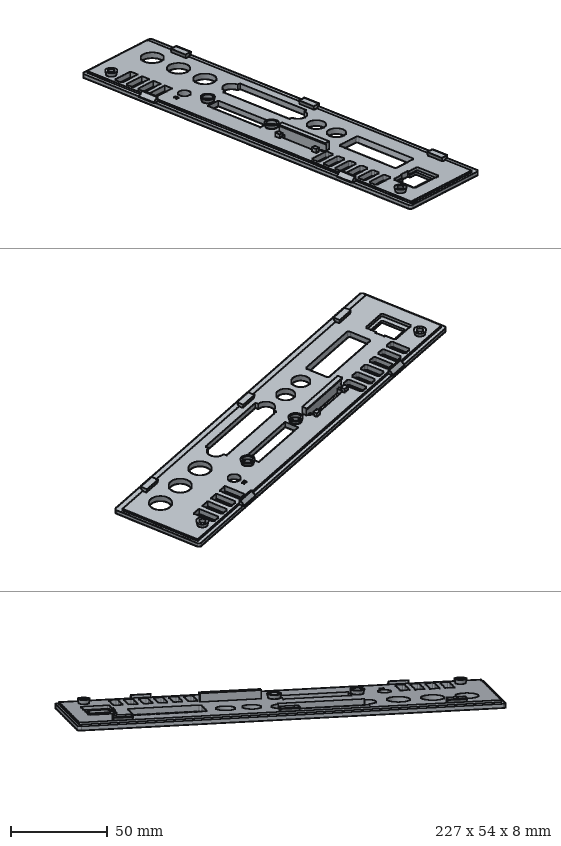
import cadquery as cq

PLATE_LENGTH = 227.0
PLATE_DEPTH = 53.3
PLATE_THICKNESS = 2.3
PLATE_CORNER_RADIUS = 1.5
MIDDLE_X = PLATE_LENGTH / 2

PANEL_SIDE_MARGIN = 1.5
PANEL_FRONT_MARGIN = 2.3
PANEL_BACK_MARGIN = 4.0
PANEL_THICKNESS = 1.1
PANEL_TOP = PLATE_THICKNESS + PANEL_THICKNESS
PANEL_BACK_Y = PLATE_DEPTH - PANEL_BACK_MARGIN

FEATURE_TOP = 5.7

CLIP_MIDDLE_X = 113.7
CLIP_WIDTH = 10.2
CLIP_PITCH = 88.5
CLIP_FRONT_Y = 46.5
CLIP_TIP_Y = 50.8
CLIP_ROOT_SHIFT = 0.5
CLIP_TIP_THICKNESS = 0.5

TAB_WIDTH = 10.5
TAB_SPACING = 136.7
TAB_TOP = 5.0
TAB_OVERHANG = 0.7
TAB_TIP_THICKNESS = 0.5
TAB_RIDGE_WIDTH = 0.7

JACK_DIAMETER = 12.0
JACK_FIRST_X = 16.8
JACK_PITCH = 18.2
JACK_COUNT = 3
JACK_Y = 35.9
PORT_DIAMETER = 10.0
PORT_FIRST_X = 130.8
PORT_PITCH = 13.8
PORT_Y = 35.2
AUDIO_DIAMETER = 6.8
AUDIO_X = 56.0
AUDIO_Y = 16.5
PEEPHOLE_LENGTH = 2.3
PEEPHOLE_WIDTH = 1.5
PEEPHOLE_Y = 10.2

WIDE_LENGTH = 45.9
WIDE_HEIGHT = 13.2
WIDE_X = 93.0
WIDE_Y = 37.5
LOBE_DIAMETER = 9.5

NARROW_LENGTH = 36.3
NARROW_HEIGHT = 8.2
NARROW_X = 92.8
NARROW_Y = 18.0
POST_SPACING = 44.0
POST_Y = 18.2
POST_TOP_DIAMETER = 7.5
POST_BASE_DIAMETER = 6.4
POST_BORE = 5.5

SCREW_SPACING = 199.8
SCREW_Y = 7.5
SCREW_TOP_DIAMETER = 6.4
SCREW_BASE_DIAMETER = 5.5
SCREW_BORE = 3.5

SLOT_WIDTH = 5.0
SLOT_PITCH = 8.0
SLOT_BOTTOM_Y = 4.0
SLOT_CORNER_RADIUS = 1.1
LEFT_SLOT_COUNT = 4
LEFT_SLOT_X = 21.3
LEFT_SLOT_LENGTH = 12.5
RIGHT_SLOT_COUNT = 6
RIGHT_SLOT_X = 157.3
RIGHT_SLOT_LENGTH = 11.8

WINDOW_LENGTH = 39.0
WINDOW_X = 174.8
WINDOW_FRONT_Y = 25.2
WINDOW_BACK_Y = 39.5
WINDOW_LEAN = 0.7
WINDOW_CORNER_RADIUS = 1.1

POCKET_LENGTH = 15.0
POCKET_WIDTH = 18.6
POCKET_X = 209.3
POCKET_Y = 24.3
POCKET_DEPTH = 1.8
POCKET_CORNER_RADIUS = 1.0
SOCKET_LENGTH = 11.1
SOCKET_WIDTH = 14.5
SOCKET_X = 208.2
SOCKET_CORNER_RADIUS = 0.5
NOTCH_LEFT_X = 201.1
NOTCH_WIDTH = 5.5

WALL_LENGTH = 32.5
WALL_X = 138.0
WALL_BACK_Y = 18.6
WALL_FRONT_Y = 16.3
WALL_TOP = 8.0
LIP_REACH = 0.7
LIP_HEIGHT = 0.5
OPENING_BACK_LENGTH = WALL_LENGTH
OPENING_FRONT_LENGTH = 25.5
OPENING_FRONT_Y = 12.5
OPENING_BACK_Y = WALL_FRONT_Y
FOOT_WIDTH = 3.2
FOOT_SPACING = 25.5
FOOT_FRONT_Y = 11.0
FOOT_OVERHANG = 0.7
LEDGE_WIDTH = 1.8
LEDGE_TOP = 2.7


def box(left, front, bottom, length, depth, height):
    """Block placed by its left, front and bottom faces."""
    return cq.Workplane("XY").box(length, depth, height, centered=False).translate((left, front, bottom))


def bar(profile, center_x, width):
    """Extrude a closed (y, z) profile along X, centred on center_x."""
    return cq.Workplane("YZ").polyline(profile).close().extrude(width / 2, both=True).translate((center_x, 0, 0))


def through_hole(x, y, diameter):
    return cq.Workplane("XY").center(x, y).circle(diameter / 2).extrude(FEATURE_TOP)


def through_rectangle(x, y, length, width):
    return cq.Workplane("XY").center(x, y).rect(length, width).extrude(PANEL_TOP)


def pair(center_x, spacing):
    return (center_x - spacing / 2, center_x + spacing / 2)


def make_base():
    plate = box(0, 0, 0, PLATE_LENGTH, PLATE_DEPTH, PLATE_THICKNESS)
    plate = plate.edges("|Z").fillet(PLATE_CORNER_RADIUS)
    panel = box(
        PANEL_SIDE_MARGIN,
        PANEL_FRONT_MARGIN,
        PLATE_THICKNESS,
        PLATE_LENGTH - 2 * PANEL_SIDE_MARGIN,
        PANEL_BACK_Y - PANEL_FRONT_MARGIN,
        PANEL_THICKNESS,
    )
    return plate.union(panel)


def rear_clip(center_x):
    profile = [
        (CLIP_FRONT_Y + CLIP_ROOT_SHIFT, PANEL_TOP),
        (CLIP_FRONT_Y, FEATURE_TOP - CLIP_TIP_THICKNESS),
        (CLIP_FRONT_Y, FEATURE_TOP),
        (CLIP_TIP_Y, FEATURE_TOP),
        (CLIP_TIP_Y, FEATURE_TOP - CLIP_TIP_THICKNESS),
        (PANEL_BACK_Y, PANEL_TOP),
    ]
    return bar(profile, center_x, CLIP_WIDTH)


def front_tab(center_x):
    profile = [
        (PANEL_FRONT_MARGIN, PLATE_THICKNESS),
        (PANEL_FRONT_MARGIN, TAB_TOP),
        (PANEL_FRONT_MARGIN - TAB_RIDGE_WIDTH, TAB_TOP),
        (-TAB_OVERHANG, PLATE_THICKNESS + TAB_TIP_THICKNESS),
        (-TAB_OVERHANG, PLATE_THICKNESS),
    ]
    return bar(profile, center_x, TAB_WIDTH)


def flared_boss(x, y, base_diameter, top_diameter):
    """Solid round boss that widens from the panel to its top."""
    return (
        cq.Workplane("XY", origin=(x, y, PANEL_TOP))
        .circle(base_diameter / 2)
        .workplane(offset=FEATURE_TOP - PANEL_TOP)
        .circle(top_diameter / 2)
        .loft()
    )


def hollow_post(x):
    post = flared_boss(x, POST_Y, POST_BASE_DIAMETER, POST_TOP_DIAMETER)
    return post.faces(">Z").workplane().hole(POST_BORE)


def slot_row(first_x, count, length, rounded_edges):
    slots = cq.Workplane("XY")
    for index in range(count):
        left = first_x + index * SLOT_PITCH - SLOT_WIDTH / 2
        slot = box(left, SLOT_BOTTOM_Y, 0, SLOT_WIDTH, length, PANEL_TOP)
        slots = slots.add(slot.edges(rounded_edges).fillet(SLOT_CORNER_RADIUS))
    return slots.combine()


def wide_opening():
    opening = through_rectangle(WIDE_X, WIDE_Y, WIDE_LENGTH, WIDE_HEIGHT)
    for x in pair(WIDE_X, WIDE_LENGTH):
        opening = opening.union(through_hole(x, WIDE_Y, LOBE_DIAMETER))
    return opening


def display_window():
    profile = [
        (WINDOW_FRONT_Y, 0),
        (WINDOW_FRONT_Y, PANEL_TOP),
        (WINDOW_BACK_Y, PANEL_TOP),
        (WINDOW_BACK_Y - WINDOW_LEAN, 0),
    ]
    window = bar(profile, WINDOW_X, WINDOW_LENGTH)
    return window.edges("not(#Z)").fillet(WINDOW_CORNER_RADIUS)


def socket():
    pocket = box(
        POCKET_X - POCKET_LENGTH / 2,
        POCKET_Y - POCKET_WIDTH / 2,
        PANEL_TOP - POCKET_DEPTH,
        POCKET_LENGTH,
        POCKET_WIDTH,
        POCKET_DEPTH,
    )
    pocket = pocket.edges("|Z").fillet(POCKET_CORNER_RADIUS)
    opening = through_rectangle(SOCKET_X, POCKET_Y, SOCKET_LENGTH, SOCKET_WIDTH)
    opening = opening.edges("|Z").fillet(SOCKET_CORNER_RADIUS)
    notch = box(NOTCH_LEFT_X, POCKET_Y - NOTCH_WIDTH / 2, 0, SOCKET_X - NOTCH_LEFT_X, NOTCH_WIDTH, PANEL_TOP)
    return pocket.union(opening).union(notch)


def tapered_opening():
    back_left, back_right = pair(WALL_X, OPENING_BACK_LENGTH)
    front_left, front_right = pair(WALL_X, OPENING_FRONT_LENGTH)
    outline = [
        (back_left, OPENING_BACK_Y),
        (front_left, OPENING_FRONT_Y),
        (front_right, OPENING_FRONT_Y),
        (back_right, OPENING_BACK_Y),
    ]
    return cq.Workplane("XY").polyline(outline).close().extrude(PANEL_TOP)


def lipped_wall():
    profile = [
        (WALL_FRONT_Y, PANEL_TOP),
        (WALL_BACK_Y, PANEL_TOP),
        (WALL_BACK_Y, WALL_TOP),
        (WALL_FRONT_Y - LIP_REACH, WALL_TOP),
        (WALL_FRONT_Y - LIP_REACH, WALL_TOP - LIP_HEIGHT),
        (WALL_FRONT_Y, WALL_TOP - LIP_HEIGHT - LIP_REACH),
    ]
    return bar(profile, WALL_X, WALL_LENGTH)


def hooked_foot(center_x):
    profile = [
        (FOOT_FRONT_Y, PANEL_TOP),
        (FOOT_FRONT_Y, FEATURE_TOP),
        (OPENING_FRONT_Y + FOOT_OVERHANG, FEATURE_TOP),
        (OPENING_FRONT_Y + FOOT_OVERHANG, FEATURE_TOP - FOOT_OVERHANG),
        (OPENING_FRONT_Y, PANEL_TOP),
    ]
    return bar(profile, center_x, FOOT_WIDTH)


def opening_ledge(left):
    """Low block that joins the front and back edges of the opening."""
    return box(left, OPENING_FRONT_Y, 0, LEDGE_WIDTH, OPENING_BACK_Y - OPENING_FRONT_Y, LEDGE_TOP)


result = make_base()

for index in range(JACK_COUNT):
    result = result.cut(through_hole(JACK_FIRST_X + index * JACK_PITCH, JACK_Y, JACK_DIAMETER))
for x in (PORT_FIRST_X, PORT_FIRST_X + PORT_PITCH):
    result = result.cut(through_hole(x, PORT_Y, PORT_DIAMETER))
result = result.cut(through_hole(AUDIO_X, AUDIO_Y, AUDIO_DIAMETER))
result = result.cut(through_rectangle(AUDIO_X, PEEPHOLE_Y, PEEPHOLE_LENGTH, PEEPHOLE_WIDTH))
result = result.cut(wide_opening())
result = result.cut(through_rectangle(NARROW_X, NARROW_Y, NARROW_LENGTH, NARROW_HEIGHT))
result = result.cut(slot_row(LEFT_SLOT_X, LEFT_SLOT_COUNT, LEFT_SLOT_LENGTH, "|Z and <Y"))
result = result.cut(slot_row(RIGHT_SLOT_X, RIGHT_SLOT_COUNT, RIGHT_SLOT_LENGTH, "|Z"))
result = result.cut(display_window())
result = result.cut(socket())
result = result.cut(tapered_opening())

for x in (CLIP_MIDDLE_X - CLIP_PITCH, CLIP_MIDDLE_X, CLIP_MIDDLE_X + CLIP_PITCH):
    result = result.union(rear_clip(x))
for x in pair(MIDDLE_X, TAB_SPACING):
    result = result.union(front_tab(x))

for x in pair(NARROW_X, POST_SPACING):
    result = result.union(hollow_post(x))
for x in pair(MIDDLE_X, SCREW_SPACING):
    result = result.union(flared_boss(x, SCREW_Y, SCREW_BASE_DIAMETER, SCREW_TOP_DIAMETER))
    result = result.cut(through_hole(x, SCREW_Y, SCREW_BORE))

result = result.union(lipped_wall())
foot_left, foot_right = pair(WALL_X, FOOT_SPACING)
for x in (foot_left, foot_right):
    result = result.union(hooked_foot(x))
result = result.union(opening_ledge(foot_left - FOOT_WIDTH / 2))
result = result.union(opening_ledge(foot_right + FOOT_WIDTH / 2 - LEDGE_WIDTH))